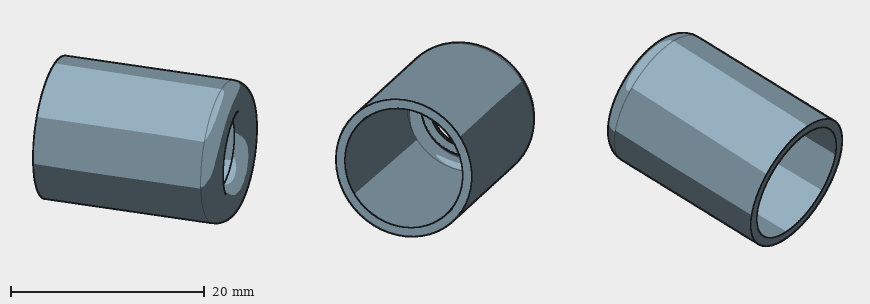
import cadquery as cq

length = 20.0
outer_diameter = 15.0
wall = 1.0
mouth_diameter = 7.8

outer_radius = outer_diameter / 2
bore_radius = outer_radius - wall
mouth_radius = mouth_diameter / 2
lip_radius = mouth_radius + wall

roll_radius = (outer_radius - mouth_radius) / 2
roll_inner_radius = roll_radius - wall
roll_center_radius = (outer_radius + mouth_radius) / 2
roll_start = length - roll_radius


def sleeve_with_rolled_rim():
    """Revolve the wall section about the X axis; the section's y is the radius."""
    section = (
        cq.Workplane("XY")
        .moveTo(0, bore_radius)
        .lineTo(0, outer_radius)
        .lineTo(roll_start, outer_radius)
        .threePointArc((length, roll_center_radius), (roll_start, mouth_radius))
        .lineTo(roll_start, lip_radius)
        .threePointArc(
            (roll_start + roll_inner_radius, roll_center_radius),
            (roll_start, bore_radius),
        )
        .close()
    )
    return section.revolve(360, (0, 0, 0), (1, 0, 0))


result = sleeve_with_rolled_rim()